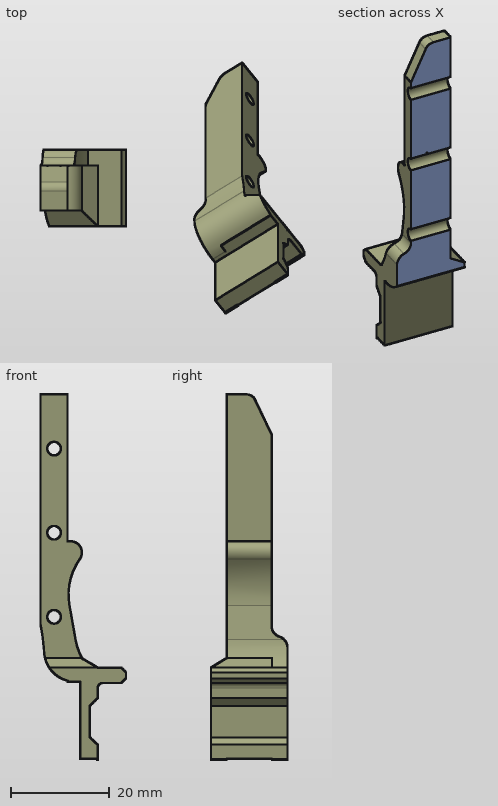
import cadquery as cq
import math


part_width = 15.5
arm_front = 3.2
arm_back = 12.3

part_height = 73.9
shelf_bottom = 15.5
shelf_top = 18.65
arm_base = 20.6
bend_top = 27.3

arm_thickness = 5.5
heel_bottom = 15.75
heel_radius = 6.4
heel_offset = 0.7
bend_bulge = 0.08
bump_radius = 2.3
bump_center = (6.1, 41.9)
waist_x = 5.7
waist_z = 33.4
waist_end_angle = math.radians(10)
arm_root_x = 9.6
root_z = 24.3

shelf_end = 17.3
shelf_end_chamfer = 0.95
wedge_length = 3.3
foot_left = 8.0
foot_right = 11.6
foot_bottom = 0.2
foot_groove_x = 10.0
toe_height = 3.05
toe_slope_top = 4.55
groove_top = 10.9
groove_slope_top = 12.5
shelf_fillet = 1.0
lip_thickness = 0.2

hole_diameter = 2.7
hole_spacing = 17.0
hole_count = 3
lowest_hole_z = 28.9

tip_slope_bottom = 65.75
tip_corner_y = 8.4
tip_radius = 2.0
flank_bottom = 22.8
flank_top = 27.0
crest_bulge = 0.38
hollow_bulge = 0.45


def extrude_along_y(outline, start, end):
    """Extrude an outline drawn in XZ from y = start to y = end."""
    return outline.extrude(start - end).translate((0, start, 0))


def waist_geometry():
    """Radius of the hollow that touches the bump, with the touching point."""
    gap_x = waist_x - bump_center[0]
    gap_z = bump_center[1] - waist_z
    radius = (gap_x**2 + gap_z**2 - bump_radius**2) / (2 * (bump_radius - gap_x))
    share = bump_radius / (radius + bump_radius)
    touch_x = bump_center[0] + share * (gap_x + radius)
    touch_z = bump_center[1] - share * gap_z
    return radius, (touch_x, touch_z)


def make_body():
    """Arm, shelf heel and shelf as one profile over the full width."""
    radius, touch = waist_geometry()
    waist_end = (
        waist_x + radius * (1 - math.cos(waist_end_angle)),
        waist_z - radius * math.sin(waist_end_angle),
    )
    root_start_x = waist_end[0] + (waist_end[1] - root_z) * math.tan(waist_end_angle)
    bump_top_z = bump_center[1] + math.sqrt(bump_radius**2 - (arm_thickness - bump_center[0])**2)
    heel_center = (heel_offset + heel_radius, heel_bottom + heel_radius)
    heel_reach = heel_radius * math.sqrt(0.5)
    bend_mid = (heel_offset / 2 + bend_bulge, (heel_center[1] + bend_top) / 2)
    outline = (
        cq.Workplane("XZ")
        .moveTo(0, part_height)
        .lineTo(arm_thickness, part_height)
        .lineTo(arm_thickness, bump_top_z)
        .threePointArc((bump_center[0] + bump_radius, bump_center[1]), touch)
        .threePointArc((waist_x, waist_z), waist_end)
        .lineTo(root_start_x, root_z)
        .tangentArcPoint((arm_root_x, shelf_top), relative=False)
        .lineTo(shelf_end, shelf_top)
        .lineTo(shelf_end, shelf_bottom)
        .lineTo(foot_left, shelf_bottom)
        .lineTo(foot_left, heel_bottom)
        .lineTo(heel_center[0], heel_bottom)
        .threePointArc(
            (heel_center[0] - heel_reach, heel_center[1] - heel_reach),
            (heel_offset, heel_center[1]),
        )
        .threePointArc(bend_mid, (0, bend_top))
        .close()
    )
    body = extrude_along_y(outline, 0, part_width)
    return body.faces(">X").edges("|Y").chamfer(shelf_end_chamfer)


def make_wedge():
    """Sloped web between the arm and the shelf, ending at the arm's back face."""
    outline = cq.Workplane("XZ").polyline([
        (arm_thickness, heel_bottom),
        (arm_thickness, arm_base),
        (foot_right - wedge_length, arm_base),
        (foot_right, shelf_top),
        (foot_right, heel_bottom),
    ]).close()
    return extrude_along_y(outline, 0, arm_back)


def make_foot():
    """Foot below the shelf, with a groove on its +X side."""
    outline = (
        cq.Workplane("XZ")
        .moveTo(foot_left, shelf_top)
        .lineTo(foot_left, foot_bottom)
        .lineTo(foot_right, foot_bottom)
        .lineTo(foot_right, toe_height)
        .lineTo(foot_groove_x, toe_slope_top)
        .lineTo(foot_groove_x, groove_top)
        .lineTo(foot_right, groove_slope_top)
        .lineTo(foot_right, shelf_bottom - shelf_fillet)
        .radiusArc((foot_right + shelf_fillet, shelf_bottom), shelf_fillet)
        .lineTo(foot_right + shelf_fillet, shelf_top)
        .close()
    )
    return extrude_along_y(outline, 0, part_width)


def make_lip(start, end):
    """Thin lip under the toe, flush with its +X face."""
    outline = cq.Workplane("XZ").polyline([
        (foot_right - lip_thickness, 0),
        (foot_right, 0),
        (foot_right, toe_height),
        (foot_right - lip_thickness, toe_height),
    ]).close()
    return extrude_along_y(outline, start, end)


def make_side_envelope():
    """Outline of the part across its width: sloped tip, curved back flank, sloped front."""
    flank_mid = ((arm_back + part_width) / 2, (flank_bottom + flank_top) / 2)
    tip_angle = math.atan2(arm_back - tip_corner_y, part_height - tip_slope_bottom)
    tip_tangent = tip_radius * math.tan((math.pi / 2 - tip_angle) / 2)
    tip_arc_end = (
        tip_corner_y + tip_tangent * math.sin(tip_angle),
        part_height - tip_tangent * math.cos(tip_angle),
    )
    return (
        cq.Workplane("YZ")
        .moveTo(0, 0)
        .lineTo(part_width, 0)
        .lineTo(part_width, flank_bottom)
        .sagittaArc(flank_mid, -crest_bulge)
        .sagittaArc((arm_back, flank_top), hollow_bulge)
        .lineTo(arm_back, tip_slope_bottom)
        .lineTo(*tip_arc_end)
        .radiusArc((tip_corner_y - tip_tangent, part_height), -tip_radius)
        .lineTo(arm_front, part_height)
        .lineTo(arm_front, arm_base)
        .lineTo(0, shelf_top)
        .close()
        .extrude(shelf_end)
    )


def drill_holes(part):
    """Row of holes through the arm along Y."""
    for index in range(hole_count):
        outline = (
            cq.Workplane("XZ")
            .center(arm_thickness / 2, lowest_hole_z + index * hole_spacing)
            .circle(hole_diameter / 2)
        )
        part = part.cut(extrude_along_y(outline, 0, part_width))
    return part


solid = make_body().union(make_wedge()).union(make_foot())
for lip_start, lip_end in ((0, arm_front), (arm_back, part_width)):
    solid = solid.union(make_lip(lip_start, lip_end))
result = drill_holes(solid.intersect(make_side_envelope()))